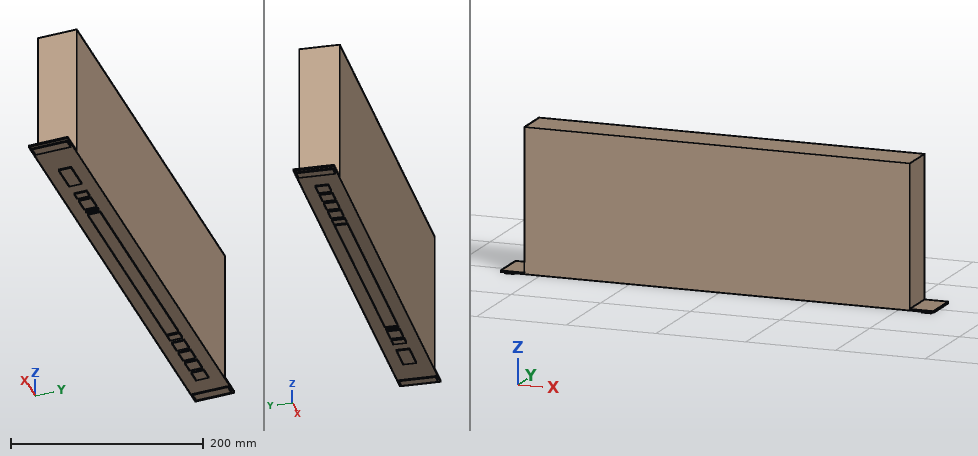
import cadquery as cq

panel_length = 482.5
depth = 43.5
total_height = 159.5

box_length = 430.0
panel_thickness = 2.0

relief = 1.5

pad_spacing = 465.0
pad_width = 10.0
pad_depth = 39.5

button_count = 4
button_size = 14.0
button_pitch = 19.0
first_button_x = -198.0

raised_strips = [
    (-129.5, -120.5),
    (-117.8, 109.0),
    (113.5, 115.0),
    (119.0, 135.0),
    (139.5, 148.0),
    (162.5, 193.0),
]


def block(center_x, length, width, bottom, height):
    """Rectangular block centred on Y = 0."""
    return (
        cq.Workplane("XY", origin=(center_x, 0, bottom))
        .box(length, width, height, centered=(True, True, False))
    )


def make_chassis():
    """Box and eared panel in one piece, with buttons and strips on the underside."""
    panel = block(0, panel_length, depth, relief, panel_thickness)
    box = block(0, box_length, depth, relief, total_height - relief)
    body = panel.union(box)

    for i in range(button_count):
        button_x = first_button_x + i * button_pitch
        body = body.union(block(button_x, button_size, button_size, 0, relief))

    for start, end in raised_strips:
        body = body.union(block((start + end) / 2, end - start, button_size, 0, relief))
    return body.solids()


def make_mounting_pad(center_x):
    """Flat pad against the underside of one ear."""
    return block(center_x, pad_width, pad_depth, 0, relief)


chassis = make_chassis()
mounting_pads = [make_mounting_pad(side * pad_spacing / 2) for side in (-1, 1)]

result = cq.Compound.makeCompound([chassis.val(), *[pad.val() for pad in mounting_pads]])